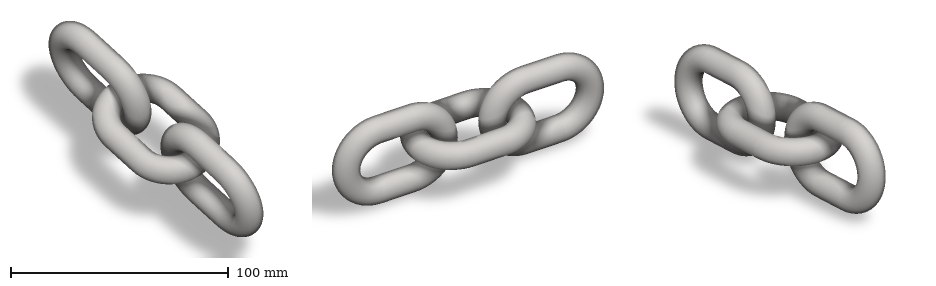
import cadquery as cq

chain_length = 143.0
link_count = 3
pitch_per_wire = 3.0
width_per_wire = 3.6

wire_diameter = chain_length / (link_count * pitch_per_wire + 2)
wire_radius = wire_diameter / 2
link_pitch = pitch_per_wire * wire_diameter
link_width = width_per_wire * wire_diameter
bend_radius = (link_width - wire_diameter) / 2
straight_length = link_pitch + wire_diameter - 2 * bend_radius


def make_link():
    """Oval link in the XZ plane, centred on the origin: round wire swept along its centreline."""
    half_straight = straight_length / 2
    centreline = (
        cq.Workplane("XZ")
        .moveTo(-half_straight, bend_radius)
        .lineTo(half_straight, bend_radius)
        .threePointArc((half_straight + bend_radius, 0), (half_straight, -bend_radius))
        .lineTo(-half_straight, -bend_radius)
        .threePointArc((-half_straight - bend_radius, 0), (-half_straight, bend_radius))
        .close()
    )
    wire_section = cq.Workplane("YZ", origin=(-half_straight, 0, bend_radius)).circle(wire_radius)
    return wire_section.sweep(centreline)


links = []
for index in range(link_count):
    offset = (index - (link_count - 1) / 2) * link_pitch
    turn = 90 * (index % 2)
    link = make_link().rotate((0, 0, 0), (1, 0, 0), turn).translate((offset, 0, 0))
    links.append(link.val())

result = cq.Compound.makeCompound(links)